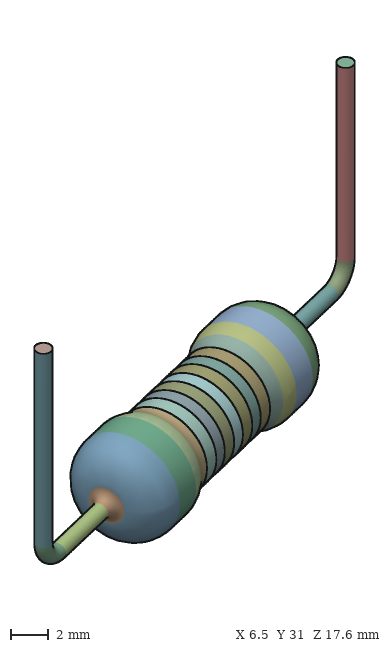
import cadquery as cq
import math

overall_length = 31.0
lead_diameter = 1.0
lead_radius = lead_diameter / 2
lead_top = 14.35
bend_radius = 1.5
lead_offset = overall_length / 2 - lead_radius

cap_radius = 3.25
barrel_radius = 5.52 / 2
band_radius = 5.55 / 2
body_half_length = 8.75
neck_fillet = 0.62
neck_radius = lead_radius + neck_fillet
dome_radius = cap_radius - neck_radius
dome_start = body_half_length - dome_radius

barrel_half_length = 3.13
shoulder_length = 1.85
shoulder_end = barrel_half_length + shoulder_length
shoulder_middle = barrel_half_length + shoulder_length / 2
shoulder_middle_radius = (barrel_radius + cap_radius) / 2

band_width = 0.93
band_centers = (0.9, 2.67)


def arc_point(center_radius, center_y, arc_radius, angle):
    """Point on a profile arc, with the angle in degrees from the radial direction."""
    turn = math.radians(angle)
    return center_radius + arc_radius * math.cos(turn), center_y + arc_radius * math.sin(turn)


def make_body_end():
    """Revolve the +Y end of the body: shoulder, cap, dome and lead neck."""
    half_run = shoulder_length / 2
    half_rise = shoulder_middle_radius - barrel_radius
    shoulder_arc = (half_run**2 + half_rise**2) / (2 * half_rise)
    half_angle = math.degrees(math.asin(half_run / shoulder_arc)) / 2
    concave_middle = arc_point(
        barrel_radius + shoulder_arc, barrel_half_length, shoulder_arc, 180 - half_angle
    )
    convex_middle = arc_point(cap_radius - shoulder_arc, shoulder_end, shoulder_arc, -half_angle)
    dome_middle = arc_point(neck_radius, dome_start, dome_radius, 45)
    neck_end = body_half_length + neck_fillet
    neck_middle = arc_point(neck_radius, neck_end, neck_fillet, 225)

    return (
        cq.Workplane("XY")
        .moveTo(0, barrel_half_length)
        .lineTo(barrel_radius, barrel_half_length)
        .threePointArc(concave_middle, (shoulder_middle_radius, shoulder_middle))
        .threePointArc(convex_middle, (cap_radius, shoulder_end))
        .lineTo(cap_radius, dome_start)
        .threePointArc(dome_middle, (neck_radius, body_half_length))
        .threePointArc(neck_middle, (lead_radius, neck_end))
        .lineTo(0, neck_end)
        .close()
        .revolve(360, (0, 0, 0), (0, 1, 0))
    )


def make_disc(center_y, radius, width):
    """Cylinder along Y, centred at the given Y position."""
    start = center_y - width / 2
    return cq.Workplane("XZ", origin=(0, start, 0)).circle(radius).extrude(-width)


def make_lead():
    """Sweep the +Y lead from the body centre, around the bend and up."""
    bend_start = lead_offset - bend_radius
    bend_middle = (
        bend_start + bend_radius * math.sin(math.pi / 4),
        bend_radius * (1 - math.cos(math.pi / 4)),
    )
    path = (
        cq.Workplane("YZ")
        .moveTo(0, 0)
        .lineTo(bend_start, 0)
        .threePointArc(bend_middle, (lead_offset, bend_radius))
        .lineTo(lead_offset, lead_top)
    )
    return cq.Workplane("XZ").circle(lead_radius).sweep(path)


body_end = make_body_end()
barrel = make_disc(0, barrel_radius, 2 * barrel_half_length)
result = barrel.union(body_end).union(body_end.mirror("XZ"))
for band_center in band_centers:
    for side in (-1, 1):
        result = result.union(make_disc(side * band_center, band_radius, band_width))

lead = make_lead()
result = result.union(lead).union(lead.mirror("XZ"))